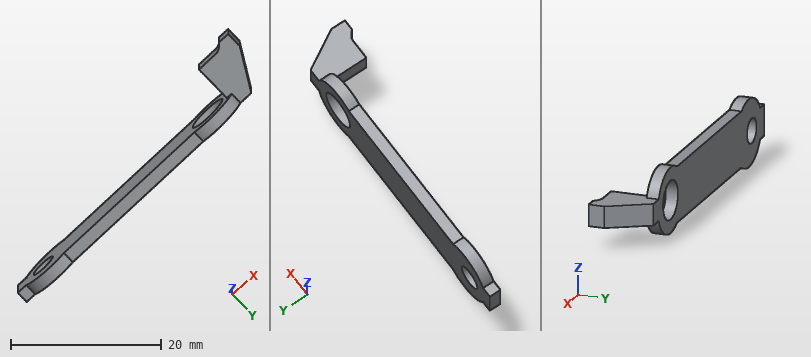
import cadquery as cq
import math

total_length = 44.55
plate_thickness = 1.75
bar_width = 7.95

tail_head_x = 5.8
tail_head_diameter = 9.6
tail_hole_x = 4.7
tail_hole_diameter = 3.5
tab_width = 4.45

hook_head_x = 34.9
hook_head_diameter = 9.3
hook_hole_diameter = 5.5

hook_width = 3.08
hook_start_x = 38.4
hook_depth = 7.15
hook_tip_depth = 8.0
tip_flat_length = 1.7
fillet_radius = 1.7
slant_depth = 5.75
slant_angle = 30.0


def plate_box(x_start, x_end, width):
    return cq.Workplane("XY").box(
        x_end - x_start, plate_thickness, width, centered=(False, False, True)
    ).translate((x_start, -plate_thickness, 0))


def plate_disc(x, diameter):
    return cq.Workplane("XZ").center(x, 0).circle(diameter / 2).extrude(plate_thickness)


def make_plate():
    plate = plate_box(0, tail_head_x, tab_width)
    plate = plate.union(plate_box(tail_head_x, hook_head_x, bar_width))
    plate = plate.union(plate_disc(tail_head_x, tail_head_diameter))
    return plate.union(plate_disc(hook_head_x, hook_head_diameter))


def make_hook():
    slant_start_x = total_length - slant_depth * math.tan(math.radians(slant_angle))
    rise = hook_tip_depth - hook_depth
    arc_angle = math.acos(1 - rise / fillet_radius)
    arc_end_x = total_length - tip_flat_length
    arc_start_x = arc_end_x - fillet_radius * math.sin(arc_angle)
    arc_mid = (
        arc_start_x + fillet_radius * math.sin(arc_angle / 2),
        -hook_depth - fillet_radius * (1 - math.cos(arc_angle / 2)),
    )
    return (
        cq.Workplane("XY")
        .moveTo(hook_start_x, 0)
        .lineTo(hook_start_x, -hook_depth)
        .lineTo(arc_start_x, -hook_depth)
        .threePointArc(arc_mid, (arc_end_x, -hook_tip_depth))
        .lineTo(total_length, -hook_tip_depth)
        .lineTo(total_length, -slant_depth)
        .lineTo(slant_start_x, 0)
        .close()
        .extrude(hook_width / 2, both=True)
    )


result = (
    make_plate()
    .union(make_hook())
    .cut(plate_disc(tail_hole_x, tail_hole_diameter))
    .cut(plate_disc(hook_head_x, hook_hole_diameter))
)